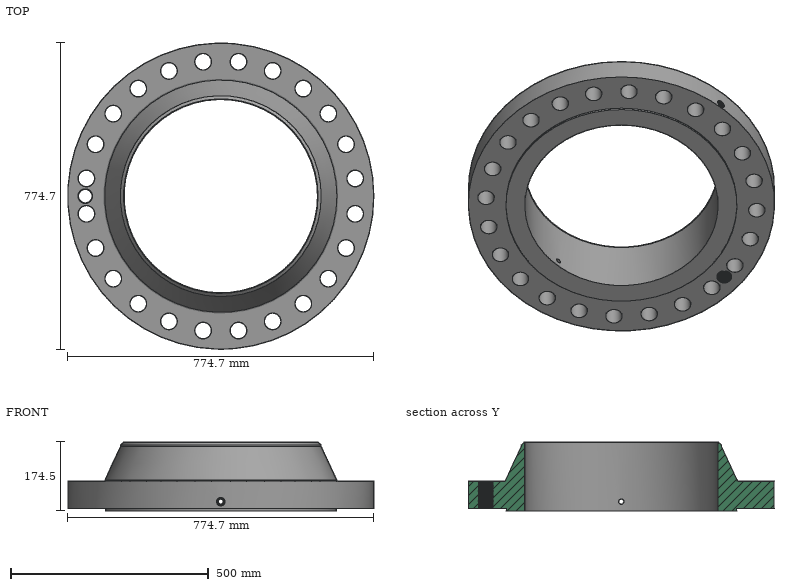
import cadquery as cq
import math

flange_diameter = 774.7
flange_thickness = 69.85
raised_face_diameter = 584.2
raised_face_height = 6.35
overall_height = 174.5

hub_base_diameter = 587.4
hub_base_fillet = 2.0
weld_end_diameter = 508.0
weld_end_wall = 9.53
weld_root_face = 1.6
weld_bevel_height = 7.0
weld_end_land = 4.0
bore_diameter = weld_end_diameter - 2 * weld_end_wall

bolt_count = 24
bolt_circle_diameter = 685.8
bolt_hole_diameter = 41.3

jack_major_diameter = 37.0
jack_minor_diameter = 34.0
jack_pitch = 4.2

tap_height = 24.0
tap_major_diameter = 21.3
tap_minor_diameter = 18.0
tap_pitch = 1.8
tap_thread_turns = 14
tap_passage_diameter = 12.7

flange_radius = flange_diameter / 2
bolt_circle_radius = bolt_circle_diameter / 2
flange_top = raised_face_height + flange_thickness


def make_body():
    """Revolve the half section of the flange, hub and welding end about Z."""
    bore_radius = bore_diameter / 2
    hub_radius = hub_base_diameter / 2
    weld_radius = weld_end_diameter / 2
    bevel_base = overall_height - weld_bevel_height
    profile = (
        cq.Workplane("XZ")
        .moveTo(bore_radius, 0)
        .lineTo(raised_face_diameter / 2, 0)
        .lineTo(raised_face_diameter / 2, raised_face_height)
        .lineTo(flange_radius, raised_face_height)
        .lineTo(flange_radius, flange_top)
        .lineTo(hub_radius + hub_base_fillet, flange_top)
        .radiusArc((hub_radius, flange_top + hub_base_fillet), hub_base_fillet)
        .lineTo(weld_radius, bevel_base - weld_end_land)
        .lineTo(weld_radius, bevel_base)
        .lineTo(bore_radius + weld_root_face, overall_height)
        .lineTo(bore_radius, overall_height)
        .close()
    )
    return profile.revolve(360, (0, 0, 0), (0, 1, 0))


def make_bolt_holes():
    """Through holes with the X axis midway between two neighbours."""
    half_pitch = 180 / bolt_count
    return (
        cq.Workplane("XY")
        .polarArray(bolt_circle_radius, half_pitch, 360, bolt_count)
        .circle(bolt_hole_diameter / 2)
        .extrude(flange_top)
    )


def make_threaded_hole(major_diameter, minor_diameter, pitch, turns):
    """Hole along +Z from the origin, with one ring-shaped V groove per thread turn."""
    outline = [(0, 0), (major_diameter / 2, 0)]
    for turn in range(turns):
        crest = (minor_diameter / 2, (turn + 0.5) * pitch)
        root = (major_diameter / 2, (turn + 1) * pitch)
        outline += [crest, root]
    outline.append((0, turns * pitch))
    return cq.Workplane("XZ").polyline(outline).close().revolve(360, (0, 0, 0), (0, 1, 0))


def make_jackscrew_hole():
    """Threaded hole through the plate, flared to the major diameter at the top face."""
    turns = math.ceil(flange_thickness / jack_pitch)
    hole = make_threaded_hole(jack_major_diameter, jack_minor_diameter, jack_pitch, turns)
    return hole.rotate((0, 0, 0), (1, 0, 0), 180).translate((-bolt_circle_radius, 0, flange_top))


def make_pressure_tap():
    """Tap on the -Y side: threaded from the rim, then a passage ending in the open bore."""
    passage_length = flange_radius - bore_diameter / 4
    passage = cq.Workplane("XY").circle(tap_passage_diameter / 2).extrude(passage_length)
    socket = make_threaded_hole(tap_major_diameter, tap_minor_diameter, tap_pitch, tap_thread_turns)
    tap = socket.union(passage)
    return tap.rotate((0, 0, 0), (1, 0, 0), -90).translate((0, -flange_radius, tap_height))


result = make_body().cut(make_bolt_holes()).cut(make_jackscrew_hole())
pressure_tap = make_pressure_tap()
for tap_angle in (0, 180):
    result = result.cut(pressure_tap.rotate((0, 0, 0), (0, 0, 1), tap_angle))